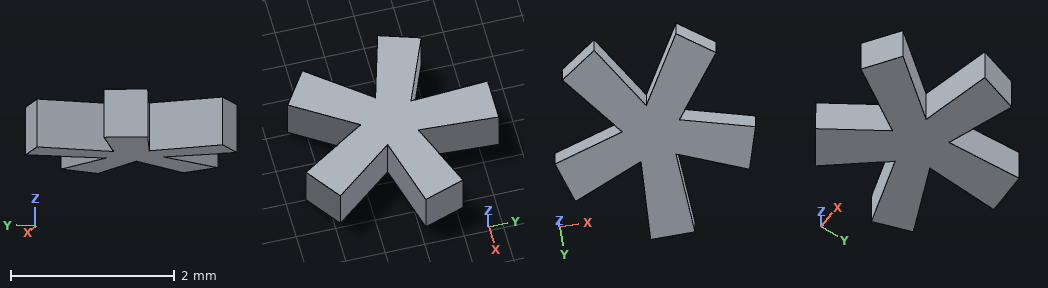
import cadquery as cq

span_x = 2.51
span_y = 2.5
thickness = 0.6

right = span_x / 2
left = -right
top = span_y / 2
bottom = -top

upper_arm = [(-0.265, top), (0.289, top)]
upper_right_notch = (0.23, 0.243)
right_arm = [(1.087, 0.592), (right, 0.075)]
lower_right_notch = (0.35, -0.175)
lower_right_arm = [(0.945, -0.925), (0.497, bottom)]
bottom_notch = (-0.02, -0.425)
lower_left_arm = [(-0.527, -1.22), (-0.98, -0.919)]
lower_left_notch = (-0.37, -0.148)
left_arm = [(left, 0.105), (-1.09, 0.617)]
upper_left_notch = (-0.21, 0.264)

outline = [
    *upper_arm, upper_right_notch,
    *right_arm, lower_right_notch,
    *lower_right_arm, bottom_notch,
    *lower_left_arm, lower_left_notch,
    *left_arm, upper_left_notch,
]

result = cq.Workplane("XY").polyline(outline).close().extrude(thickness)